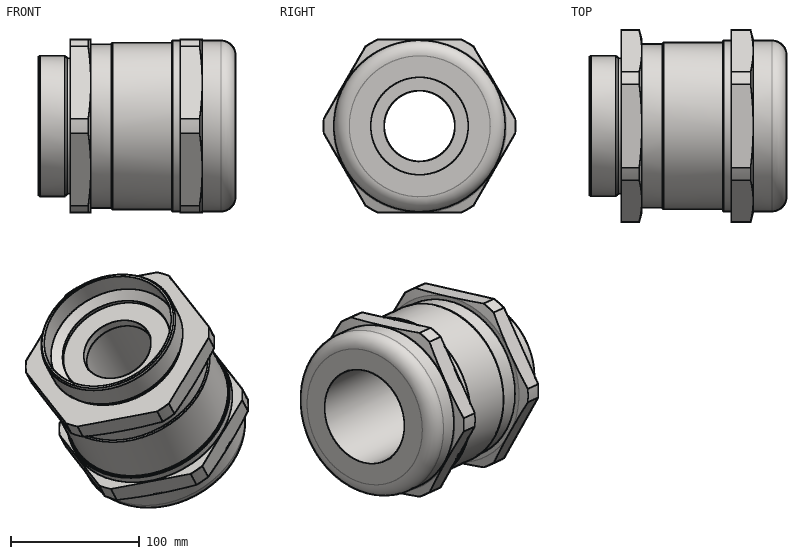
import cadquery as cq
import math

total_length = 154.0

thread_radius = 110.0 / 2
thread_chamfer_length = 1.5
thread_chamfer_drop = 1.1
undercut_radius = 106.0 / 2
thread_end = 20.5
undercut_start = 22.8

across_flats = 135.0
corner_radius = 150.0 / 2
corner_chamfer_angle = 15.0
body_nut_start = 24.8
body_nut_end = 41.0
cap_nut_start = 110.7
cap_nut_end = 127.8

neck_radius = 128.0 / 2
neck_end = 56.8
body_radius = 130.3 / 2
body_start = 57.9
cap_radius = 133.7 / 2
cap_start = 104.1
cap_rounding = 11.9
cap_edge_chamfer = 0.6

entry_radius = 104.0 / 2
entry_depth = 17.4
seat_radius = 88.1 / 2
seat_cone_length = 4.5
seat_depth = 24.8
bore_radius = 55.0 / 2
bore_length = 7.7
rear_bore_radius = 76.0 / 2


def revolve_about_x(half_profile):
    """Turn a closed (x, radius) half profile about the X axis."""
    return half_profile.close().revolve(360, (0, 0, 0), (1, 0, 0))


def outer_body():
    profile = (
        cq.Workplane("XY")
        .moveTo(0, 0)
        .lineTo(0, thread_radius - thread_chamfer_drop)
        .lineTo(thread_chamfer_length, thread_radius)
        .lineTo(thread_end, thread_radius)
        .lineTo(undercut_start, undercut_radius)
        .lineTo(body_nut_start, undercut_radius)
        .lineTo(body_nut_start, neck_radius)
        .lineTo(neck_end, neck_radius)
        .lineTo(body_start, body_radius)
        .lineTo(cap_start, body_radius)
        .lineTo(cap_start, cap_radius - cap_edge_chamfer)
        .lineTo(cap_start + cap_edge_chamfer, cap_radius)
        .lineTo(total_length - cap_rounding, cap_radius)
        .radiusArc((total_length, cap_radius - cap_rounding), cap_rounding)
        .lineTo(total_length, 0)
    )
    return revolve_about_x(profile)


def hexagon_collar(start, end):
    """Hexagon with flats at +Z and -Z, turned corners and a conical +X face."""
    corner_diameter = across_flats / math.cos(math.radians(30))
    hexagon = (
        cq.Workplane("YZ", origin=(start, 0, 0))
        .polygon(6, corner_diameter)
        .extrude(end - start)
    )
    flat_radius = across_flats / 2
    chamfer_length = (corner_radius - flat_radius) * math.tan(math.radians(corner_chamfer_angle))
    turned_blank = revolve_about_x(
        cq.Workplane("XY")
        .moveTo(start, 0)
        .lineTo(start, corner_radius)
        .lineTo(end - chamfer_length, corner_radius)
        .lineTo(end, flat_radius)
        .lineTo(end, 0)
    )
    return hexagon.intersect(turned_blank)


def passage():
    bore_end = seat_depth + bore_length
    profile = (
        cq.Workplane("XY")
        .moveTo(0, 0)
        .lineTo(0, entry_radius)
        .lineTo(entry_depth, entry_radius)
        .lineTo(entry_depth + seat_cone_length, seat_radius)
        .lineTo(seat_depth, seat_radius)
        .lineTo(seat_depth, bore_radius)
        .lineTo(bore_end, bore_radius)
        .lineTo(bore_end, rear_bore_radius)
        .lineTo(total_length, rear_bore_radius)
        .lineTo(total_length, 0)
    )
    return revolve_about_x(profile)


result = (
    outer_body()
    .union(hexagon_collar(body_nut_start, body_nut_end))
    .union(hexagon_collar(cap_nut_start, cap_nut_end))
    .cut(passage())
)